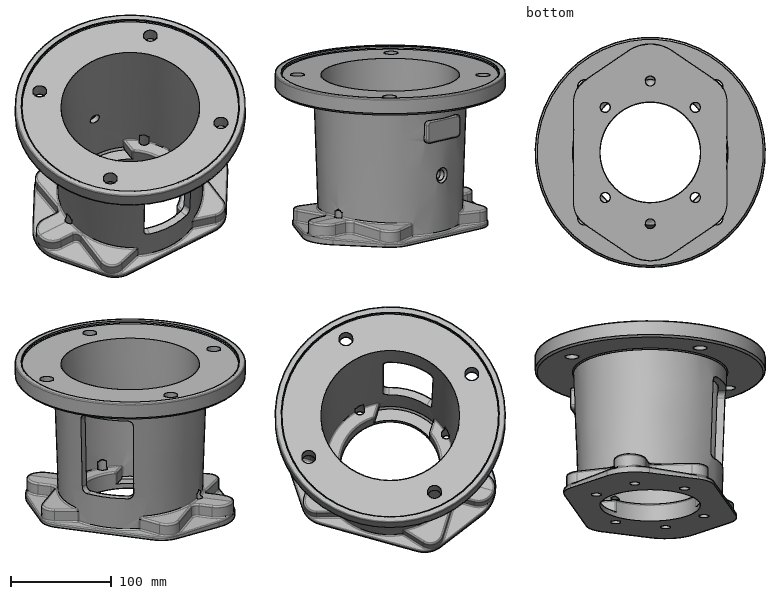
import cadquery as cq
import math

overall_height = 155.7
overall_radius = 114.3

flange_thickness = 16.7
flange_top_round = 1.0
flange_bottom_chamfer = 2.0
recess_radius = 108.4
recess_depth = 2.7
recess_chamfer = 1.0
flange_hole_radius = 6.9
flange_hole_offset = 65.2
neck_chamfer = 1.1

draft = math.tan(math.radians(2))
tube_top_radius = 76.1
tube_bore_top_radius = 68.8
spigot_bore_radius = 49.8

plate_half_width = 76.1
plate_half_length = 107.7
plate_crest = 7.0
plate_corner_radius = 25.4
plate_corner_y = 50.5
plate_end_radius = 38.5
plate_edge_round = 1.1

crest_slope = math.tan(math.radians(2.6))
boss_crest = 20.0
end_boss_radius = 16.0
boss_shoulder_y = 72.0
boss_corner = (76.1, 72.0)
boss_inner = (63.8, 31.3)
boss_corner_round = 13.0
boss_valley_round = 6.0
boss_top_round = 1.8
root_round = 1.4

thin_floor = 5.3
thick_floor = 18.3
thick_floor_y = 28.3
floor_edge_round = 1.8
floor_root_chamfer = 2.0
floor_pad_root_round = 1.0
floor_pad_overlap = 2.3

tap_diameter = 9.8
tap_depth = 25.1
drill_point_angle = 118
end_tap_y = 70.9
corner_tap_offset = 44.8

window_width = 57.8
window_bottom = 37.7
window_top = 122.0
window_corner_round = 5.7
window_depth = 20.5
window_side_angle = 13

side_hole_z = 62.6
side_hole_radius = 5.3
side_countersink_radius = 7.8
side_hole_depth = 22.9
name_pad_face_x = -76.4
name_pad_width = 45.7
name_pad_bottom = 99.0
name_pad_top = 121.8
name_pad_corner_round = 4.1
name_pad_edge_round = 1.5
name_pad_depth = 6.9

pick_gap = 0.2
sharp_normal_gap = 0.3
probe_step = 0.11

tap_radius = tap_diameter / 2
flange_bottom = overall_height - flange_thickness
recess_floor = overall_height - recess_depth


def tube_radius(z):
    return tube_top_radius - draft * (flange_bottom - z)


def bore_radius(z):
    return tube_bore_top_radius - draft * (recess_floor - z)


def cylinder(radius, z_bottom, z_top):
    return cq.Workplane("XY").workplane(offset=z_bottom).circle(radius).extrude(z_top - z_bottom)


def crested_block(crest):
    """Block from z = 0 up to a roof that falls away evenly from x = 0."""
    reach = overall_radius
    eave = crest - crest_slope * reach
    profile = [(-reach, 0), (reach, 0), (reach, eave), (0, crest), (-reach, eave)]
    return cq.Workplane("XZ").polyline(profile).close().extrude(reach, both=True)


def flange_and_tube():
    """Outer body of revolution without any bore."""
    neck_radius = tube_top_radius + neck_chamfer
    return (
        cq.Workplane("YZ")
        .lineTo(tube_radius(0), 0)
        .lineTo(tube_radius(flange_bottom - neck_chamfer), flange_bottom - neck_chamfer)
        .lineTo(neck_radius, flange_bottom)
        .lineTo(overall_radius - flange_bottom_chamfer, flange_bottom)
        .lineTo(overall_radius, flange_bottom + flange_bottom_chamfer)
        .lineTo(overall_radius, overall_height - flange_top_round)
        .radiusArc((overall_radius - flange_top_round, overall_height), -flange_top_round)
        .lineTo(recess_radius, overall_height)
        .lineTo(recess_radius, recess_floor + recess_chamfer)
        .lineTo(recess_radius - recess_chamfer, recess_floor)
        .lineTo(0, recess_floor)
        .close()
        .revolve(360, (0, 0, 0), (0, 1, 0))
    )


def round_roof_edges(body, crest, radius, y_reach):
    """Round the outer top edges with |y| centres inside y_reach, leaving the ridge at x = 0 sharp."""
    y_from, y_to = y_reach
    left = cq.selectors.BoxSelector((-overall_radius, y_from, crest / 2), (-pick_gap, y_to, crest))
    right = cq.selectors.BoxSelector((pick_gap, y_from, crest / 2), (overall_radius, y_to, crest))
    return body.edges(left + right).fillet(radius)


def concave_edges(body, box):
    """Sharp inside corners of the body whose centres lie in the box."""
    solid = body.val()

    def is_concave(edge):
        middle = edge.positionAt(0.5)
        normals = [face.normalAt(middle) for face in edge.ancestors(solid, "Face")]
        if len(normals) != 2:
            return False
        across = normals[0] - normals[1]
        if across.Length < sharp_normal_gap:
            return False
        return solid.isInside(middle + across * probe_step)

    return body.edges(box).filter(is_concave)


def base_plate():
    corner_x = plate_half_width - plate_corner_radius
    end_y = plate_half_length - plate_end_radius
    dy = plate_corner_y - end_y
    normal = math.atan2(dy, corner_x) + math.acos(
        (plate_end_radius - plate_corner_radius) / math.hypot(corner_x, dy)
    )
    nx = math.cos(normal)
    ny = math.sin(normal)
    corner_touch = (corner_x + plate_corner_radius * nx, plate_corner_y + plate_corner_radius * ny)
    end_touch = (plate_end_radius * nx, end_y + plate_end_radius * ny)
    quarter = (
        cq.Workplane("XY")
        .lineTo(plate_half_width, 0)
        .lineTo(plate_half_width, plate_corner_y)
        .radiusArc(corner_touch, -plate_corner_radius)
        .lineTo(*end_touch)
        .radiusArc((0, plate_half_length), -plate_end_radius)
        .close()
        .extrude(plate_crest)
    )
    half = quarter.union(quarter.mirror("YZ"))
    plate = half.union(half.mirror("XZ")).clean()
    plate = plate.intersect(crested_block(plate_crest))
    return round_roof_edges(plate, plate_crest, plate_edge_round, (-overall_radius, overall_radius))


def boss_group():
    """The end boss and two corner bosses on the +Y side."""
    corner_x, corner_y = boss_corner
    inner_x, inner_y = boss_inner
    wings = (
        cq.Workplane("XY")
        .polyline([
            (-inner_x, inner_y),
            (inner_x, inner_y),
            (corner_x, corner_y),
            (end_boss_radius, boss_shoulder_y),
            (-end_boss_radius, boss_shoulder_y),
            (-corner_x, corner_y),
        ])
        .close()
        .extrude(boss_crest)
    )
    end_y = plate_half_length - end_boss_radius
    end_boss = (
        cq.Workplane("XY")
        .moveTo(-end_boss_radius, inner_y)
        .lineTo(end_boss_radius, inner_y)
        .lineTo(end_boss_radius, end_y)
        .threePointArc((0, plate_half_length), (-end_boss_radius, end_y))
        .close()
        .extrude(boss_crest)
    )
    group = wings.union(end_boss).clean()
    nearest = cq.selectors.NearestToPointSelector
    middle_z = boss_crest / 2
    for side in (-1, 1):
        corner = nearest((side * corner_x, corner_y, middle_z))
        group = group.edges(corner).fillet(boss_corner_round)
        valley = nearest((side * end_boss_radius, boss_shoulder_y, middle_z))
        group = group.edges(valley).fillet(boss_valley_round)
    group = group.intersect(crested_block(boss_crest))
    return round_roof_edges(group, boss_crest, boss_top_round, (inner_y + pick_gap, overall_radius))


def tube_cavity():
    """Drafted bore of the tube, open at the recess and closed at the thin floor."""
    return (
        cq.Workplane("YZ")
        .moveTo(0, thin_floor)
        .lineTo(bore_radius(thin_floor) - floor_root_chamfer, thin_floor)
        .lineTo(bore_radius(thin_floor), thin_floor + floor_root_chamfer)
        .lineTo(bore_radius(recess_floor), recess_floor)
        .lineTo(0, recess_floor)
        .close()
        .revolve(360, (0, 0, 0), (0, 1, 0))
    )


def floor_pads():
    """Two thick floor areas, rooted inside the tube wall."""
    pads = cylinder(bore_radius(thick_floor) + floor_pad_overlap, 0, thick_floor)
    pads = pads.cut(cylinder(spigot_bore_radius, 0, thick_floor))
    pads = pads.cut(cq.Workplane("XY").box(2 * overall_radius, 2 * thick_floor_y, 2 * thick_floor))
    pads = pads.faces(">Z").edges("|X").fillet(floor_edge_round)
    return pads.faces(">Z").edges(cq.selectors.RadiusNthSelector(0)).fillet(floor_edge_round)


def square_corners(offset):
    return [(x, y) for x in (-offset, offset) for y in (-offset, offset)]


def tapped_holes():
    """Blind holes with drill-point tips: one per end boss and four under the tube wall."""
    tip_depth = tap_depth + tap_radius / math.tan(math.radians(drill_point_angle / 2))
    drill = (
        cq.Workplane("XZ")
        .lineTo(tap_radius, 0)
        .lineTo(tap_radius, tap_depth)
        .lineTo(0, tip_depth)
        .close()
        .revolve(360, (0, 0, 0), (0, 1, 0))
        .val()
    )
    places = [(0, -end_tap_y), (0, end_tap_y)] + square_corners(corner_tap_offset)
    return cq.Workplane("XY").pushPoints(places).eachpoint(lambda place: drill.located(place))


def flange_holes():
    return (
        cq.Workplane("XY", origin=(0, 0, flange_bottom))
        .pushPoints(square_corners(flange_hole_offset))
        .circle(flange_hole_radius)
        .extrude(flange_thickness)
    )


def wall_window():
    """Rounded rectangular opening whose side faces close in toward the inside of the wall."""
    outer_x = tube_top_radius
    inner_x = outer_x - window_depth
    outer_y = window_width / 2
    inner_y = outer_y - window_depth * math.tan(math.radians(window_side_angle))
    return (
        cq.Workplane("XY", origin=(0, 0, window_bottom))
        .polyline([(inner_x, -inner_y), (outer_x, -outer_y), (outer_x, outer_y), (inner_x, inner_y)])
        .close()
        .extrude(window_top - window_bottom)
        .edges("not(|Z or |Y)")
        .fillet(window_corner_round)
    )


def name_pad():
    height = name_pad_top - name_pad_bottom
    return (
        cq.Workplane("YZ", origin=(name_pad_face_x, 0, (name_pad_bottom + name_pad_top) / 2))
        .rect(name_pad_width, height)
        .extrude(name_pad_depth)
        .edges("|X")
        .fillet(name_pad_corner_round)
        .faces("<X")
        .edges()
        .fillet(name_pad_edge_round)
    )


def side_hole():
    """Through hole in the -X wall with a 90 degree countersink on the outside."""
    outside_x = -tube_radius(side_hole_z)
    center = cq.Vector(outside_x, 0, side_hole_z)
    inward = cq.Vector(1, 0, 0)
    drill = cq.Solid.makeCylinder(side_hole_radius, side_hole_depth, center, inward)
    sink_depth = side_countersink_radius - side_hole_radius
    sink = cq.Solid.makeCone(
        side_countersink_radius + sink_depth,
        side_hole_radius,
        2 * sink_depth,
        center - inward * sink_depth,
        inward,
    )
    return cq.Workplane(drill).union(cq.Workplane(sink))


bosses = boss_group()
result = flange_and_tube().union(base_plate()).union(bosses).union(bosses.mirror("XZ"))
foot_zone = cq.selectors.BoxSelector(
    (-overall_radius, -overall_radius, 0), (overall_radius, overall_radius, boss_crest)
)
result = concave_edges(result, foot_zone).fillet(root_round)
result = result.union(name_pad())
result = result.cut(tube_cavity()).cut(cylinder(spigot_bore_radius, 0, overall_height))
result = result.union(floor_pads())
floor_pad_zone = cq.selectors.BoxSelector(
    (-tube_top_radius, -tube_top_radius, thick_floor - pick_gap),
    (tube_top_radius, tube_top_radius, thick_floor + pick_gap),
)
result = concave_edges(result, floor_pad_zone).fillet(floor_pad_root_round)
result = result.cut(wall_window()).cut(side_hole())
result = result.cut(tapped_holes()).cut(flange_holes())